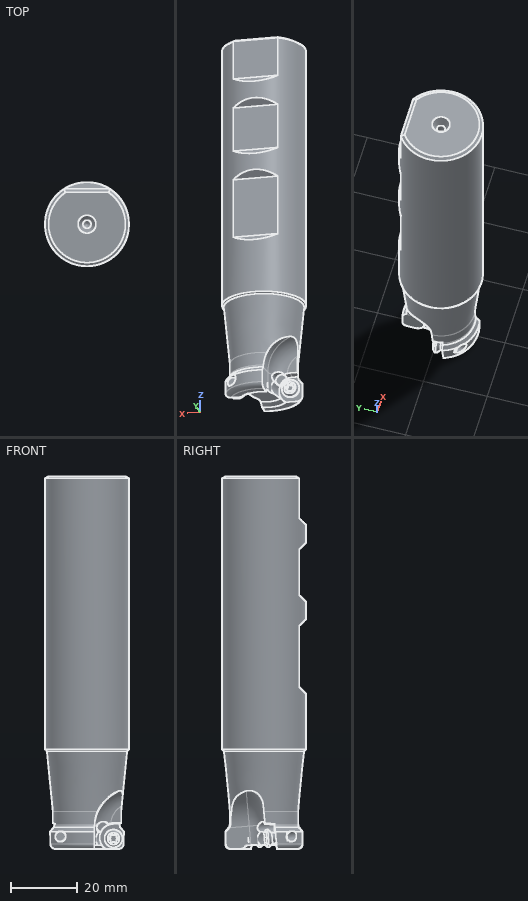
import cadquery as cq
import math

length = 112.6
shank_radius = 12.7
end_chamfer_width = 1.1
end_chamfer_height = 0.7

flat_depth = 2.0
flat_spans = [(99.9, length), (76.7, 90.5), (49.0, 67.4)]

centre_mouth_radius = 2.7
centre_bore_radius = 1.2
centre_bore_depth = 5.6
countersink_half_angle = 30.0
drill_point_half_angle = 59.0

shank_end_z = 30.2
shoulder_z = 29.6
shoulder_radius = 12.2
taper_end_z = 11.5
neck_radius = 10.4
neck_end_z = 7.4
collar_z = 6.6
collar_radius = 10.6
head_radius = 11.7
head_upper_edge_z = 5.3
head_corner_radius = 1.6

dish_mouth_radius = 7.0
dish_floor_radius = 5.5
dish_depth = 1.2

tooth_count = 2
tooth_tilt = 5.0
screw_x = 8.0
screw_z = 3.2

pocket_floor_x = 2.3
pocket_radius = 11.3
pocket_centre_z = 7.4
pocket_wall_y = 0.7
pocket_corner_radius = 4.8
clear_depth = 22.5

seat_radius = 4.2
seat_y = 3.6
seat_flare = 11.0
relief_radius = 1.8
relief_x = 4.7
relief_z = 6.5
relief_y = 3.4

screw_face_y = 0.1
screw_face_radius = 1.8
screw_rim_y = 0.8
screw_head_radius = 2.7
screw_cone_start_y = 1.4
screw_cone_end_y = 2.5
screw_shank_radius = 1.6
screw_end_y = 7.0

drive_core_radius = 1.0
drive_lobe_radius = 0.3
drive_lobe_count = 6
drive_depth = 1.4


def place_tooth(shape, index):
    """Tip a tooth feature about the X line through the screw centre, then turn it to its tooth."""
    tipped = shape.rotate((0, 0, screw_z), (1, 0, screw_z), tooth_tilt)
    return tipped.rotate((0, 0, 0), (0, 0, 1), index * 360.0 / tooth_count)


def cylinder_along_y(x, z, radius, start_y, end_y):
    """Cylinder with its axis along Y, from start_y to end_y."""
    return (
        cq.Workplane("XZ", origin=(x, start_y, z))
        .circle(radius)
        .extrude(start_y - end_y)
    )


def make_turned_blank():
    """Shank, taper, neck and head as one turned shape."""
    corner_mid = head_corner_radius * (1 - math.sqrt(0.5))
    return (
        cq.Workplane("XZ")
        .moveTo(0, 0)
        .lineTo(head_radius - head_corner_radius, 0)
        .threePointArc((head_radius - corner_mid, corner_mid), (head_radius, head_corner_radius))
        .lineTo(head_radius, head_upper_edge_z)
        .lineTo(collar_radius, collar_z)
        .lineTo(neck_radius, neck_end_z)
        .lineTo(neck_radius, taper_end_z)
        .lineTo(shoulder_radius, shoulder_z)
        .lineTo(shank_radius, shank_end_z)
        .lineTo(shank_radius, length - end_chamfer_height)
        .lineTo(shank_radius - end_chamfer_width, length)
        .lineTo(0, length)
        .close()
        .revolve(360, (0, 0, 0), (0, 1, 0))
    )


def make_flat_cutter(bottom_z, top_z):
    """Flat on the +Y side with 45 degree ends; a flat that reaches the top end runs out square."""
    floor_y = shank_radius - flat_depth
    top_slope = 0 if top_z == length else flat_depth
    return (
        cq.Workplane("YZ", origin=(-shank_radius, 0, 0))
        .moveTo(floor_y, bottom_z)
        .lineTo(floor_y + flat_depth, bottom_z - flat_depth)
        .lineTo(floor_y + flat_depth, top_z + top_slope)
        .lineTo(floor_y, top_z)
        .close()
        .extrude(2 * shank_radius)
    )


def make_flat_bevel():
    """Continuation of the end chamfer along the top flat."""
    floor_y = shank_radius - flat_depth
    return (
        cq.Workplane("YZ", origin=(-shank_radius, 0, 0))
        .moveTo(floor_y - end_chamfer_width, length)
        .lineTo(floor_y, length - end_chamfer_height)
        .lineTo(shank_radius, length - end_chamfer_height)
        .lineTo(shank_radius, length)
        .close()
        .extrude(2 * shank_radius)
    )


def make_centre_hole():
    """Countersunk centre hole with a drill point."""
    countersink_depth = (
        (centre_mouth_radius - centre_bore_radius) / math.tan(math.radians(countersink_half_angle))
    )
    point_depth = centre_bore_radius / math.tan(math.radians(drill_point_half_angle))
    return (
        cq.Workplane("XZ")
        .moveTo(0, length)
        .lineTo(centre_mouth_radius, length)
        .lineTo(centre_bore_radius, length - countersink_depth)
        .lineTo(centre_bore_radius, length - centre_bore_depth)
        .lineTo(0, length - centre_bore_depth - point_depth)
        .close()
        .revolve(360, (0, 0, 0), (0, 1, 0))
    )


def make_dish():
    """Conical recess in the bottom of the head."""
    return (
        cq.Workplane("XZ")
        .lineTo(dish_mouth_radius, 0)
        .lineTo(dish_floor_radius, dish_depth)
        .lineTo(0, dish_depth)
        .close()
        .revolve(360, (0, 0, 0), (0, 1, 0))
    )


def make_chip_pocket():
    """Arch-shaped pocket whose inner end has a large rounded corner."""
    centre_x = pocket_floor_x + pocket_radius
    return (
        cq.Workplane("XZ", origin=(0, pocket_wall_y, 0))
        .moveTo(pocket_floor_x, -clear_depth)
        .lineTo(pocket_floor_x, pocket_centre_z)
        .threePointArc(
            (centre_x, pocket_centre_z + pocket_radius),
            (centre_x + pocket_radius, pocket_centre_z),
        )
        .lineTo(centre_x + pocket_radius, -clear_depth)
        .close()
        .extrude(clear_depth)
        .faces(">Y")
        .edges("not <Z")
        .fillet(pocket_corner_radius)
    )


def make_insert_seat():
    """Seat with a half-round inner end, open outwards, growing from its floor towards its mouth."""
    return (
        cq.Workplane("XZ", origin=(screw_x, seat_y, screw_z))
        .moveTo(0, seat_radius)
        .threePointArc((-seat_radius, 0), (0, -seat_radius))
        .lineTo(clear_depth, -seat_radius)
        .lineTo(clear_depth, seat_radius)
        .close()
        .extrude(2 * seat_radius, taper=-seat_flare)
    )


def make_tooth_cutter():
    """Chip pocket, insert seat, corner relief and screw hole of one tooth."""
    relief = cylinder_along_y(relief_x, relief_z, relief_radius, -clear_depth, relief_y)
    screw_hole = cylinder_along_y(screw_x, screw_z, screw_shank_radius, 0, clear_depth)
    return make_chip_pocket().union(make_insert_seat()).union(relief).union(screw_hole)


def make_holder():
    blank = make_turned_blank()
    for bottom_z, top_z in flat_spans:
        blank = blank.cut(make_flat_cutter(bottom_z, top_z))
    blank = blank.cut(make_flat_bevel()).cut(make_centre_hole()).cut(make_dish())
    for index in range(tooth_count):
        blank = blank.cut(place_tooth(make_tooth_cutter(), index))
    return blank


def make_drive_recess():
    """Six-lobe socket in the face of the screw."""
    recess = cylinder_along_y(screw_x, screw_z, drive_core_radius, 0, screw_face_y + drive_depth)
    for index in range(drive_lobe_count):
        angle = 2 * math.pi * index / drive_lobe_count
        lobe_x = screw_x + drive_core_radius * math.cos(angle)
        lobe_z = screw_z + drive_core_radius * math.sin(angle)
        lobe = cylinder_along_y(lobe_x, lobe_z, drive_lobe_radius, 0, screw_face_y + drive_depth)
        recess = recess.union(lobe)
    return recess


def make_screw(index):
    """Countersunk clamping screw of one tooth."""
    body = (
        cq.Workplane("XY", origin=(screw_x, 0, screw_z))
        .moveTo(0, screw_face_y)
        .lineTo(screw_face_radius, screw_face_y)
        .lineTo(screw_head_radius, screw_rim_y)
        .lineTo(screw_head_radius, screw_cone_start_y)
        .lineTo(screw_shank_radius, screw_cone_end_y)
        .lineTo(screw_shank_radius, screw_end_y)
        .lineTo(0, screw_end_y)
        .close()
        .revolve(360, (0, 0, 0), (0, 1, 0))
    )
    return place_tooth(body.cut(make_drive_recess()), index)


holder = make_holder()
screws = [make_screw(index) for index in range(tooth_count)]

result = cq.Compound.makeCompound([holder.val(), *[screw.val() for screw in screws]])